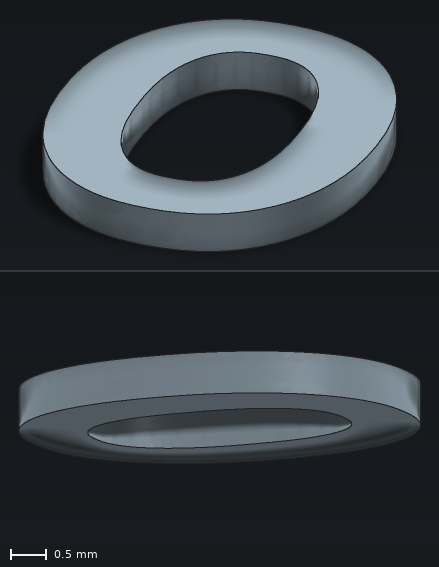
import cadquery as cq
import math

WIDTH = 4.71
LENGTH = 5.68
THICKNESS = 0.6

OPENING_WIDTH = 2.4
OPENING_LENGTH = 3.795

OUTER_EXPONENT = 2.2
OPENING_EXPONENT = 2.4

POINT_COUNT = 32


def superellipse_point(width, length, exponent, angle):
    """Point on a centred superellipse, at the given angle before stretching."""
    across = math.cos(angle)
    along = math.sin(angle)
    radius = (abs(across) ** exponent + abs(along) ** exponent) ** (-1 / exponent)
    return (width / 2 * radius * across, length / 2 * radius * along)


def oval_prism(width, length, exponent):
    """Upright prism with a smooth superellipse outline, standing on the XY plane."""
    step = 2 * math.pi / POINT_COUNT
    points = [superellipse_point(width, length, exponent, i * step) for i in range(POINT_COUNT)]
    outline = cq.Workplane("XY").spline(points, periodic=True).close()
    return outline.extrude(THICKNESS)


body = oval_prism(WIDTH, LENGTH, OUTER_EXPONENT)
opening = oval_prism(OPENING_WIDTH, OPENING_LENGTH, OPENING_EXPONENT)

result = body.cut(opening)